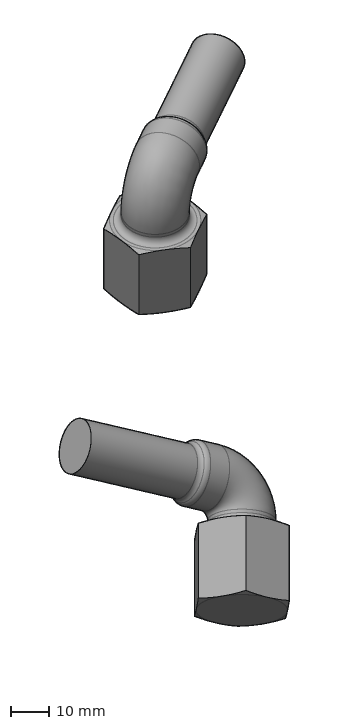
import cadquery as cq
import math

total_length = 66.85
nut_across_flats = 24.0
nut_height = 22.0
nut_chamfer_angle = 15.0
elbow_diameter = 18.0
tube_diameter = 15.0
bend_radius = 10.0
total_height = 44.0
neck_fillet = 2.0
collar_length = 6.0
shoulder_radius = 2.0

nut_corner_diameter = nut_across_flats / math.cos(math.radians(30))
nut_flat_radius = nut_across_flats / 2
nut_corner_radius = nut_corner_diameter / 2
elbow_radius = elbow_diameter / 2
tube_radius = tube_diameter / 2
tube_axis_height = total_height - elbow_radius
bend_start_height = tube_axis_height - bend_radius
collar_end = bend_radius + collar_length
tube_end = total_length - nut_corner_radius


def make_nut():
    """Solid hexagon with corners on Y and conical chamfers at both ends."""
    hexagon = (
        cq.Workplane("XY")
        .polygon(6, nut_corner_diameter)
        .extrude(nut_height)
        .rotate((0, 0, 0), (0, 0, 1), 90)
    )
    chamfer_drop = (nut_corner_radius - nut_flat_radius) * math.tan(math.radians(nut_chamfer_angle))
    chamfer_envelope = (
        cq.Workplane("XZ")
        .moveTo(0, 0)
        .lineTo(nut_flat_radius, 0)
        .lineTo(nut_corner_radius, chamfer_drop)
        .lineTo(nut_corner_radius, nut_height - chamfer_drop)
        .lineTo(nut_flat_radius, nut_height)
        .lineTo(0, nut_height)
        .close()
        .revolve(360, (0, 0), (0, 1))
    )
    return hexagon.intersect(chamfer_envelope)


def make_neck():
    """Short round neck that flares onto the nut with a concave fillet."""
    fillet_top = nut_height + neck_fillet
    arc_offset = neck_fillet * (1 - math.sqrt(0.5))
    return (
        cq.Workplane("XZ")
        .moveTo(0, nut_height)
        .lineTo(elbow_radius + neck_fillet, nut_height)
        .threePointArc(
            (elbow_radius + arc_offset, nut_height + arc_offset),
            (elbow_radius, fillet_top),
        )
        .lineTo(elbow_radius, bend_start_height)
        .lineTo(0, bend_start_height)
        .close()
        .revolve(360, (0, 0), (0, 1))
    )


def make_bend():
    """Quarter-torus elbow from the neck to the collar."""
    return (
        cq.Workplane("XY", origin=(0, 0, bend_start_height))
        .circle(elbow_radius)
        .revolve(90, (0, bend_radius), (-1, bend_radius))
    )


def make_collar_and_tube():
    """Collar that steps down to the tube through two tangent, equal arcs."""
    arc_step = (elbow_radius - tube_radius) / 2
    arc_angle = math.acos(1 - arc_step / shoulder_radius)
    arc_length = shoulder_radius * math.sin(arc_angle)
    mid_step = shoulder_radius * (1 - math.cos(arc_angle / 2))
    mid_length = shoulder_radius * math.sin(arc_angle / 2)
    shoulder_end = collar_end + 2 * arc_length
    return (
        cq.Workplane("XY", origin=(0, 0, tube_axis_height))
        .moveTo(0, bend_radius)
        .lineTo(elbow_radius, bend_radius)
        .lineTo(elbow_radius, collar_end)
        .threePointArc(
            (elbow_radius - mid_step, collar_end + mid_length),
            (elbow_radius - arc_step, collar_end + arc_length),
        )
        .threePointArc(
            (tube_radius + mid_step, shoulder_end - mid_length),
            (tube_radius, shoulder_end),
        )
        .lineTo(tube_radius, tube_end)
        .lineTo(0, tube_end)
        .close()
        .revolve(360, (0, 0), (0, 1))
    )


result = make_nut().union(make_neck()).union(make_bend()).union(make_collar_and_tube())